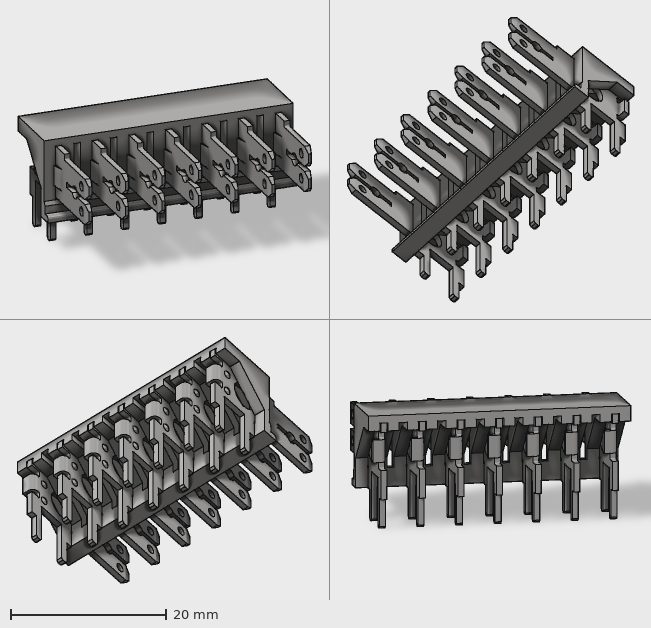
import cadquery as cq
import math


terminal_count = 7
terminal_pitch = 5.1
housing_length = 34.6
wall_back_x = 9.05
wall_front_x = 8.03

housing_bottom_z = -10.97
roof_underside_z = -2.05
gusset_start_x = 2.98
gusset_end_z = -7.02
rail_root_x = 9.38
rail_tip_x = 10.4
rail_top_z = -10.07
rail_slope_bottom_z = -9.0
rail_fillet = 0.4

slot_top_z = -1.0
slot_floor_z = -8.45
slot_width = 0.9
slot_mouth_width = 1.07

plate_thickness = 0.8
shoulder_z = -11.07
leg_bottom_z = -15.0
leg_tip_chamfer = 0.28
front_leg_start_x = 0.9
front_leg_end_x = 1.95
rear_leg_start_x = 6.02
rear_leg_end_x = 7.1
crotch_z = -8.48

window_diameter = 4.0
window_x = 6.0

ear_front_x = 0.3
ear_top_z = -3.25
ear_bottom_z = -6.23
ear_reach = 1.0
ear_inner_radius = 0.07
ear_outer_radius = ear_inner_radius + plate_thickness
notch_depth_x = 1.5
notch_height = 1.0
notch_fillet = 0.17

bump_diameter = 1.1
bump_height = 0.28
bump_x = 2.45
bump_z_positions = (-3.9, -7.0)

tab_end_x = 20.0
tab_center_z = -4.98
tab_width = 6.33
tab_top_z = tab_center_z + tab_width / 2
tab_bottom_z = tab_center_z - tab_width / 2
tab_step_x = 12.0
tab_step_fillet = 0.17
tab_tip_length = 0.9
tab_tip_drop = 0.75
tab_tip_thickness = 0.4
split_width = 0.7
split_start_x = 12.77
split_relief_diameter = 1.7
split_relief_x = 15.55
tab_hole_diameter = 1.2
tab_hole_x = 17.92
tab_hole_spacing = 3.5

barb_tip_x = 9.17
barb_root_x = 11.07
barb_height = 0.3
barb_tip_half_width = 1.4
barb_root_half_width = 1.52


def row_positions(count):
    """Centred Y positions of a row at the terminal pitch."""
    return [(i - (count - 1) / 2) * terminal_pitch for i in range(count)]


def side_profile(points, thickness):
    """Extrude an X-Z outline symmetrically about Y = 0."""
    return cq.Workplane("XZ").polyline(points).close().extrude(thickness / 2, both=True)


def through_hole(x, z, diameter):
    """Cylinder along Y that passes through the plate."""
    start = (x, plate_thickness, z)
    return cq.Workplane("XZ", origin=start).circle(diameter / 2).extrude(2 * plate_thickness)


def make_slot_cutter():
    """Slot along X with a mouth that narrows until the gusset starts."""
    mouth_half = slot_mouth_width / 2
    slot_half = slot_width / 2
    return (
        cq.Workplane("XY", origin=(0, 0, slot_floor_z))
        .polyline([
            (0, -mouth_half),
            (gusset_start_x, -slot_half),
            (wall_back_x, -slot_half),
            (wall_back_x, slot_half),
            (gusset_start_x, slot_half),
            (0, mouth_half),
        ])
        .close()
        .extrude(slot_top_z - slot_floor_z)
    )


def make_housing():
    body = side_profile(
        [
            (0, 0),
            (wall_back_x, 0),
            (wall_back_x, slot_floor_z),
            (rail_root_x, rail_slope_bottom_z),
            (rail_root_x, rail_top_z),
            (rail_tip_x, rail_top_z),
            (rail_tip_x, housing_bottom_z),
            (wall_front_x, housing_bottom_z),
            (wall_front_x, gusset_end_z),
            (gusset_start_x, roof_underside_z),
            (0, roof_underside_z),
        ],
        housing_length,
    )
    rail_edge = cq.selectors.NearestToPointSelector((rail_tip_x, 0, rail_top_z))
    body = body.edges(rail_edge).fillet(rail_fillet)

    slot = make_slot_cutter()
    for y in row_positions(terminal_count) + row_positions(terminal_count - 1):
        body = body.cut(slot.translate((0, y, 0)))
    return body


def make_plate():
    """Flat plate with both solder legs and the full tab outline."""
    plate = side_profile(
        [
            (0, slot_top_z),
            (tab_step_x, slot_top_z),
            (tab_step_x, tab_top_z),
            (tab_end_x, tab_top_z),
            (tab_end_x, tab_bottom_z),
            (wall_front_x, tab_bottom_z),
            (wall_front_x, shoulder_z),
            (rear_leg_end_x, shoulder_z),
            (rear_leg_end_x, leg_bottom_z),
            (rear_leg_start_x, leg_bottom_z),
            (rear_leg_start_x, crotch_z),
            (front_leg_end_x, crotch_z),
            (front_leg_end_x, leg_bottom_z),
            (front_leg_start_x, leg_bottom_z),
            (front_leg_start_x, shoulder_z),
            (0, shoulder_z),
        ],
        plate_thickness,
    )
    plate = plate.faces("<Z").edges("|Y").chamfer(leg_tip_chamfer)
    step_corner = cq.selectors.NearestToPointSelector((tab_step_x, 0, tab_top_z))
    plate = plate.edges(step_corner).fillet(tab_step_fillet)
    return plate.cut(through_hole(window_x, tab_center_z, window_diameter))


def cut_ear_notches(plate):
    """Clear the plate edge in front of the ear and the round-cornered notches above and below it."""
    notch = cq.Workplane("XY").box(2 * notch_depth_x, 2 * plate_thickness, notch_height)
    notch = notch.edges("|Y").fillet(notch_fillet)
    for z in (ear_top_z + notch_height / 2, ear_bottom_z - notch_height / 2):
        plate = plate.cut(notch.translate((0, 0, z)))

    clearance_depth = ear_front_x + ear_outer_radius
    clearance_height = ear_top_z - ear_bottom_z + notch_height
    clearance = cq.Workplane("XY").box(2 * clearance_depth, 2 * plate_thickness, clearance_height)
    return plate.cut(clearance.translate((0, 0, (ear_top_z + ear_bottom_z) / 2)))


def make_ear():
    """Ear bent from the plate towards +Y, with concentric bend radii."""
    outer_y = -plate_thickness / 2
    inner_y = plate_thickness / 2
    ear_end_y = inner_y + ear_reach
    bend_x = ear_front_x + ear_outer_radius
    bend_y = outer_y + ear_outer_radius
    diagonal = math.sqrt(0.5)
    return (
        cq.Workplane("XY", origin=(0, 0, ear_bottom_z))
        .moveTo(bend_x, outer_y)
        .threePointArc(
            (bend_x - ear_outer_radius * diagonal, bend_y - ear_outer_radius * diagonal),
            (ear_front_x, bend_y),
        )
        .lineTo(ear_front_x, ear_end_y)
        .lineTo(ear_front_x + plate_thickness, ear_end_y)
        .lineTo(ear_front_x + plate_thickness, bend_y)
        .threePointArc(
            (bend_x - ear_inner_radius * diagonal, bend_y - ear_inner_radius * diagonal),
            (bend_x, inner_y),
        )
        .close()
        .extrude(ear_top_z - ear_bottom_z)
    )


def make_bump(z):
    """Spherical-cap bump on the -Y face of the plate."""
    base_radius = bump_diameter / 2
    sphere_radius = (base_radius**2 + bump_height**2) / (2 * bump_height)
    face_y = -plate_thickness / 2
    sphere = cq.Workplane("XY").sphere(sphere_radius)
    sphere = sphere.translate((bump_x, face_y - bump_height + sphere_radius, z))
    keep = (
        cq.Workplane("XZ", origin=(bump_x, 0, z))
        .circle(base_radius)
        .extrude(plate_thickness / 2 + bump_height)
    )
    return sphere.intersect(keep)


def make_barb():
    """Wedge on the -Y face that rises towards the housing wall."""
    face_y = -plate_thickness / 2
    wedge = (
        cq.Workplane("XY", origin=(0, 0, tab_center_z))
        .polyline([
            (barb_root_x, face_y),
            (barb_tip_x, face_y - barb_height),
            (barb_tip_x, 0),
            (barb_root_x, 0),
        ])
        .close()
        .extrude(tab_width / 2, both=True)
    )
    outline = side_profile(
        [
            (barb_tip_x, tab_center_z + barb_tip_half_width),
            (barb_root_x, tab_center_z + barb_root_half_width),
            (barb_root_x, tab_center_z - barb_root_half_width),
            (barb_tip_x, tab_center_z - barb_tip_half_width),
        ],
        plate_thickness + 2 * barb_height,
    )
    return wedge.intersect(outline)


def split_tab(plate):
    """Slit the tab into two prongs, each with a hole."""
    slit_length = tab_end_x - split_start_x
    slit = cq.Workplane("XY").box(slit_length, 2 * plate_thickness, split_width)
    plate = plate.cut(slit.translate((split_start_x + slit_length / 2, 0, tab_center_z)))
    plate = plate.cut(through_hole(split_relief_x, tab_center_z, split_relief_diameter))
    for side in (-1, 1):
        hole_z = tab_center_z + side * tab_hole_spacing / 2
        plate = plate.cut(through_hole(tab_hole_x, hole_z, tab_hole_diameter))
    return plate


def taper_tips(plate):
    """Bevel the prong ends on all four sides."""
    prong_width = (tab_width - split_width) / 2
    half_thickness = plate_thickness / 2
    tip_half_thickness = tab_tip_thickness / 2
    taper_start_x = tab_end_x - tab_tip_length

    for side in (-1, 1):
        prong_z = tab_center_z + side * (split_width + prong_width) / 2
        for edge in (-1, 1):
            edge_z = prong_z + edge * prong_width / 2
            corner = side_profile(
                [
                    (taper_start_x, edge_z),
                    (tab_end_x, edge_z),
                    (tab_end_x, edge_z - edge * tab_tip_drop),
                ],
                plate_thickness,
            )
            plate = plate.cut(corner)

    for face in (-1, 1):
        shaving = (
            cq.Workplane("XY", origin=(0, 0, tab_center_z))
            .polyline([
                (taper_start_x, face * half_thickness),
                (tab_end_x, face * half_thickness),
                (tab_end_x, face * tip_half_thickness),
            ])
            .close()
            .extrude(tab_width / 2, both=True)
        )
        plate = plate.cut(shaving)
    return plate


def make_terminal():
    terminal = cut_ear_notches(make_plate()).union(make_ear())
    terminal = taper_tips(split_tab(terminal))
    for z in bump_z_positions:
        terminal = terminal.union(make_bump(z))
    return terminal.union(make_barb())


housing = make_housing().solids()

terminal = make_terminal().solids()
terminals = [terminal.translate((0, y, 0)) for y in row_positions(terminal_count)]

result = cq.Compound.makeCompound([housing.val(), *[t.val() for t in terminals]])